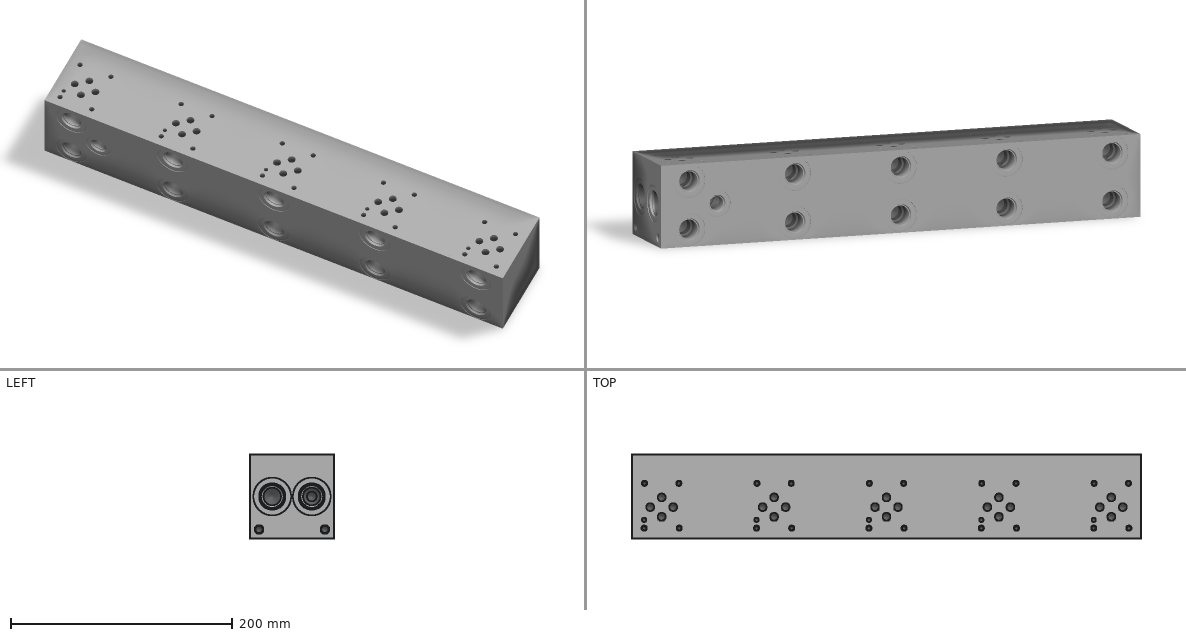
import cadquery as cq
import math

LENGTH = 460.38
WIDTH = 76.2
HEIGHT = 76.2
LEFT_FACE = -LENGTH / 2
FRONT_FACE = -WIDTH / 2
TOP_FACE = HEIGHT / 2

STATION_COUNT = 5
STATION_PITCH = 101.6
FIRST_STATION = -STATION_PITCH * (STATION_COUNT - 1) / 2

DRILL_POINT_ANGLE = 118.0
POINT_SLOPE = 1 / math.tan(math.radians(DRILL_POINT_ANGLE / 2))

SPOTFACE_DEPTH = 0.5
ENTRY_DEPTH = 2.5

WORK_SPOTFACE = 30.63
WORK_ENTRY = (20.45, 19.25)
WORK_STEPS = [(17.5, 16.0), (14.3, 26.0)]
WORK_PORT_Z = 22.22

GAUGE_SPOTFACE = 25.0
GAUGE_ENTRY = (15.88, 14.3)
GAUGE_STEPS = [(12.9, 29.0)]
GAUGE_PORT_X = LEFT_FACE + 53.98

GALLERY_SPOTFACE = 34.14
GALLERY_ENTRY = (23.9, 22.55)
GALLERY_BORE = 20.45
GALLERY_BORE_DEPTH = 20.0
GALLERY_DIAMETER = 15.88
GALLERY_DEPTH = 445.0
PRESSURE_GALLERY_DEPTH = 430.0
PRESSURE_END_DIAMETER = 8.73
GALLERY_Y = 17.86

MOUNT_MAJOR = 7.92
MOUNT_MINOR = 6.53
MOUNT_THREAD_DEPTH = 12.0
MOUNT_DRILL_DEPTH = 16.0
MOUNT_EDGE_DISTANCE = 8.33

REAR_BOLT_Y = FRONT_FACE + 50.0
FRONT_BOLT_Y = REAR_BOLT_Y - 40.5
REAR_BOLT_X = 15.5
FRONT_BOLT_X = 15.88
BOLT_MAJOR = 4.83
BOLT_MINOR = 3.79
BOLT_THREAD_DEPTH = 10.0
BOLT_DRILL_DEPTH = 13.0
FLOW_DIAMETER = 7.14
FLOW_DEPTH = 25.0
SIDE_FLOW_X = 10.4
SIDE_FLOW_Y = REAR_BOLT_Y - 21.5
REAR_FLOW_Y = REAR_BOLT_Y - 12.7
FRONT_FLOW_Y = REAR_BOLT_Y - 30.2
PIN_DIAMETER = 3.96
PIN_DEPTH = 5.0
PIN_Y = REAR_BOLT_Y - 33.0


def stepped_profile(steps):
    """Half-section (radius, depth) of coaxial drilled steps, each ending in a drill point.

    steps lists (diameter, depth at full diameter) from the mouth inwards.
    """
    points = [(0, 0), (steps[0][0] / 2, 0)]
    for index, (diameter, depth) in enumerate(steps):
        radius = diameter / 2
        points.append((radius, depth))
        last = index == len(steps) - 1
        next_radius = 0 if last else steps[index + 1][0] / 2
        points.append((next_radius, depth + (radius - next_radius) * POINT_SLOPE))
    return points


def revolve_profile(points):
    """Turn a (radius, depth) half-section into a cutter pointing along +Y from the origin."""
    return cq.Workplane("XY").polyline(points).close().revolve(360, (0, 0), (0, 1)).val()


def drill(steps):
    return revolve_profile(stepped_profile(steps))


def tapped_hole(major, minor, thread_depth, drill_depth):
    """Thread at its major diameter with a flat shoulder down to the tapping drill."""
    thread = cq.Solid.makeCylinder(major / 2, thread_depth, cq.Vector(), cq.Vector(0, 1, 0))
    return thread.fuse(drill([(minor, drill_depth)]))


def threaded_port(spotface, entry, steps):
    """Port cutter pointing along +Y from the origin."""
    mouth_radius = entry[0] / 2
    seat_radius = entry[1] / 2
    mouth = [
        (0, 0),
        (spotface / 2, 0),
        (spotface / 2, SPOTFACE_DEPTH),
        (mouth_radius, SPOTFACE_DEPTH),
        (seat_radius, ENTRY_DEPTH),
        (0, ENTRY_DEPTH),
    ]
    return revolve_profile(mouth).fuse(drill(steps))


def from_front(cutter, x, z):
    return cutter.translate(cq.Vector(x, FRONT_FACE, z))


def from_left(cutter, y, z):
    turned = cutter.rotate(cq.Vector(0, 0, 0), cq.Vector(0, 0, 1), -90)
    return turned.translate(cq.Vector(LEFT_FACE, y, z))


def from_top(cutter, x, y):
    turned = cutter.rotate(cq.Vector(0, 0, 0), cq.Vector(1, 0, 0), -90)
    return turned.translate(cq.Vector(x, y, TOP_FACE))


def gallery_cutters():
    bore = (GALLERY_BORE, GALLERY_BORE_DEPTH)
    tank_steps = [bore, (GALLERY_DIAMETER, GALLERY_DEPTH)]
    pressure_steps = [
        bore,
        (GALLERY_DIAMETER, PRESSURE_GALLERY_DEPTH),
        (PRESSURE_END_DIAMETER, GALLERY_DEPTH),
    ]
    tank = threaded_port(GALLERY_SPOTFACE, GALLERY_ENTRY, tank_steps)
    pressure = threaded_port(GALLERY_SPOTFACE, GALLERY_ENTRY, pressure_steps)
    return [from_left(tank, GALLERY_Y, 0), from_left(pressure, -GALLERY_Y, 0)]


def mounting_cutters():
    hole = tapped_hole(MOUNT_MAJOR, MOUNT_MINOR, MOUNT_THREAD_DEPTH, MOUNT_DRILL_DEPTH)
    y = WIDTH / 2 - MOUNT_EDGE_DISTANCE
    z = -HEIGHT / 2 + MOUNT_EDGE_DISTANCE
    return [from_left(hole, side * y, z) for side in (-1, 1)]


def gauge_cutter():
    port = threaded_port(GAUGE_SPOTFACE, GAUGE_ENTRY, GAUGE_STEPS)
    return from_front(port, GAUGE_PORT_X, 0)


def station_cutters(x):
    """Work ports and valve interface of the station centred at x."""
    work_port = threaded_port(WORK_SPOTFACE, WORK_ENTRY, WORK_STEPS)
    cutters = [from_front(work_port, x, z) for z in (-WORK_PORT_Z, WORK_PORT_Z)]

    bolt_hole = tapped_hole(BOLT_MAJOR, BOLT_MINOR, BOLT_THREAD_DEPTH, BOLT_DRILL_DEPTH)
    for side in (-1, 1):
        cutters.append(from_top(bolt_hole, x + side * REAR_BOLT_X, REAR_BOLT_Y))
        cutters.append(from_top(bolt_hole, x + side * FRONT_BOLT_X, FRONT_BOLT_Y))

    flow_hole = drill([(FLOW_DIAMETER, FLOW_DEPTH)])
    for side in (-1, 1):
        cutters.append(from_top(flow_hole, x + side * SIDE_FLOW_X, SIDE_FLOW_Y))
    for y in (REAR_FLOW_Y, FRONT_FLOW_Y):
        cutters.append(from_top(flow_hole, x, y))

    pin_hole = drill([(PIN_DIAMETER, PIN_DEPTH)])
    cutters.append(from_top(pin_hole, x - FRONT_BOLT_X, PIN_Y))
    return cutters


block = cq.Workplane("XY").box(LENGTH, WIDTH, HEIGHT).val()
cutters = gallery_cutters() + mounting_cutters() + [gauge_cutter()]
for station in range(STATION_COUNT):
    cutters += station_cutters(FIRST_STATION + station * STATION_PITCH)

result = cq.Workplane("XY").newObject([block.cut(*cutters).Solids()[0]])